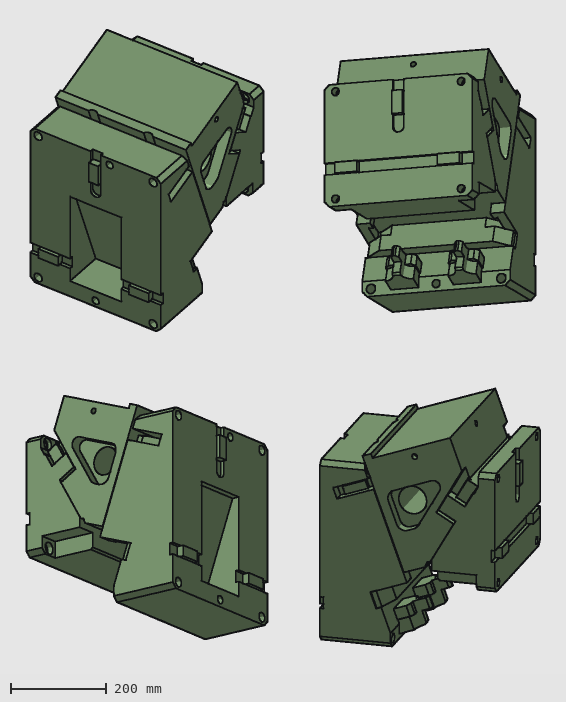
import cadquery as cq
import math

WIDTH = 330.0
HALF_WIDTH = WIDTH / 2
CORNER_CHAMFER = 11.0

HOLDER_HEIGHT = 399.5
HOLDER_FOOT_DEPTH = 154.5
GUIDE_TILT = 20.0
GUIDE_FOOT = (190.5, 148.5)
LOWER_NOTCH_LENGTH = 37.5
UPPER_NOTCH_START = 212.5
UPPER_NOTCH_END = 238.0
NOTCH_DEPTH = 85.0
UPPER_FACE_SETBACK = 4.5
CHANNEL_DEPTH = 73.0
CHANNEL_NECK_DEPTH = 19.5
CHANNEL_NECK_HALF_WIDTH = 134.0
CHANNEL_HEAD_HALF_WIDTH = 143.5
RIDGE_TOP_DEPTH = 50.0
RIDGE_FLANK_RUN = 33.5
RIDGE_ROOT_HALF_WIDTH = 139.0
LOWER_STOP_ROOT_HALF_WIDTH = 160.5

WINDOW_WIDTH = 129.0
WINDOW_BOTTOM = 40.0
WINDOW_TOP = 259.5
WINDOW_BOTTOM_DEPTH = 95.5

LUG_X = 70.0
LUG_TOP = -61.5
LUG_PLATE_BOTTOM = -86.5
LUG_BOTTOM = -117.0
LUG_BASE_HALF_WIDTH = 31.0
LUG_PLATE_HALF_WIDTH = 33.5
LUG_FILLET = 22.5
LUG_BLOCK_CHAMFER = 4.5
LUG_BLOCK_END_DEPTH = 24.0
LUG_SHOULDER_CHAMFER = 8.5
LUG_SHOULDER_DEPTH = 35.5
LUG_TIP_CHAMFER = 6.0

BASE_BACK = 383.0
BASE_FRONT = 244.0
BASE_BOTTOM = 144.0
BASE_TOP = 406.0
BASE_PLATE_THICKNESS = 37.0
BASE_EDGE_CHAMFER = 4.5
SEAT_TILT = 30.0
CLAW_FOOT = (296.0, 295.0)
SEAT_RELIEF = 2.5
SEAT_RELIEF_START = 75.0
CLAW_LENGTH = 40.0
CLAW_HEIGHT = 43.0
CLAW_LIP_HEIGHT = 27.0
CLAW_INNER_X = 148.5
CLAW_LIP_INNER_X = 138.5
BASE_HOLE_X = 140.0
BASE_HOLE_DIAMETER = 16.5
BASE_CBORE_DIAMETER = 26.0
BASE_CBORE_DEPTH = 9.5
BASE_RECESS_WIDTH = 45.5
BASE_RECESS_HEIGHT = 36.5
BASE_RECESS_DEPTH_FROM_BACK = 40.5

SLIDE_BOTTOM = 23.0
SLIDE_TOP = 278.0
SLIDE_BACK = 201.5
LIP_TOP = 288.0
LIP_THICKNESS = 21.5
TOE_BOTTOM_DEPTH = -50.2
TOE_STEP = (-58.0, 31.5)
SLIDE_HEEL = -109.5
TONGUE_TOP_ON_SEAT = 88.0
SHOULDER_BOTTOM = -7.0
SHOULDER_HEIGHT = 44.0
TONGUE_CORNER_RADIUS = 7.0
GUIDE_GAP = 1.5
TONGUE_TOP_IN_CHANNEL = 230.5
SIDE_POCKET_DEPTH = 26.0
SIDE_POCKET_RADIUS = 19.0
SIDE_POCKET_TOP_RADIUS = 15.0
SIDE_POCKET_BOTTOM = 108.5
SIDE_POCKET_TOP = 199.0
SIDE_POCKET_FRONT_WALL = 22.5
SIDE_POCKET_SEAT_WALL = 61.5
CROSS_HOLE = (-64.5, 163.0)
CROSS_HOLE_DIAMETER = 61.0
SMALL_HOLE_DIAMETER = 11.5
SMALL_HOLE_DEPTH = 19.0
DRILL_POINT_ANGLE = 118.0
SIDE_SMALL_HOLE = (-112.0, 258.5)
BACK_SMALL_HOLE_HEIGHT = 255.0
GROOVE_X = 70.0
GROOVE_RADIUS = 15.0
GROOVE_DEPTH = 5.7

KEYWAY_WIDTH = 25.5
KEY_WIDTH = 23.5
KEY_LENGTH = 50.0
KEYWAY_DEPTH = 8.0
KEY_PROTRUSION = 7.5
TOP_KEY_DROP = 25.0
TOP_KEYWAY_LENGTH = 113.5
SIDE_KEY_X = 114.5
HOLE_X = 145.5
HOLE_EDGE_DISTANCE = 16.0
MOUNT_HOLE_DIAMETER = 20.0
DOWEL_HOLE_DIAMETER = 17.0
UPPER_DOWEL_X = 35.5
HOLDER_SIDE_KEY_Z = 85.5
BASE_SIDE_KEY_Z = 225.5

GUIDE_SIN = math.sin(math.radians(GUIDE_TILT))
GUIDE_COS = math.cos(math.radians(GUIDE_TILT))
SEAT_SIN = math.sin(math.radians(SEAT_TILT))
SEAT_COS = math.cos(math.radians(SEAT_TILT))


def guide_point(depth, along):
    """(y, z) at a depth into the holder and a distance up its guide face."""
    y = GUIDE_FOOT[0] - depth * GUIDE_COS - along * GUIDE_SIN
    z = GUIDE_FOOT[1] - depth * GUIDE_SIN + along * GUIDE_COS
    return y, z


def seat_point(height, along):
    """(y, z) at a height above the base's seat and a distance up it."""
    y = CLAW_FOOT[0] - height * SEAT_COS + along * SEAT_SIN
    z = CLAW_FOOT[1] + height * SEAT_SIN + along * SEAT_COS
    return y, z


def guide_plane(along):
    """Work plane across the guide: x is X, y points out of the holder."""
    y, z = guide_point(0, along)
    return cq.Workplane(cq.Plane((0, y, z), (1, 0, 0), (0, -GUIDE_SIN, GUIDE_COS)))


def prism(points, x_min=-HALF_WIDTH, x_max=HALF_WIDTH):
    """Side outline of (y, z) points filled between two X positions."""
    return cq.Workplane("YZ", origin=(x_min, 0, 0)).polyline(points).close().extrude(x_max - x_min)


def both_sides(points, x_inner):
    """The same side outline filled from x_inner out to each side face."""
    return prism(points, x_inner, HALF_WIDTH).union(prism(points, -HALF_WIDTH, -x_inner))


def box(x_range, y_range, z_range):
    """Block between two limits along each axis."""
    corner = cq.Vector(x_range[0], y_range[0], z_range[0])
    size = [high - low for low, high in (x_range, y_range, z_range)]
    return cq.Workplane(cq.Solid.makeBox(*size, corner))


def rod(diameter, length, start, direction):
    """Round bar from a start point along a direction."""
    return cq.Workplane(cq.Solid.makeCylinder(diameter / 2, length, cq.Vector(*start), cq.Vector(*direction)))


def bore(x, z, diameter, y_start, length):
    """Round bar along +Y."""
    return rod(diameter, length, (x, y_start, z), (0, 1, 0))


def mirrored_bar(outline, x, bottom, top):
    """Bar along the guide from half an outline of (x, depth) points, mirrored about its own middle."""
    right = [(half_width, -depth) for half_width, depth in outline]
    left = [(-half_width, y) for half_width, y in reversed(right)]
    return guide_plane(bottom).center(x, 0).polyline(right + left).close().extrude(top - bottom)


def t_section(bottom, top, start_depth):
    """T-section bar along the guide, from a start depth down to the channel floor."""
    outline = [
        (CHANNEL_NECK_HALF_WIDTH, start_depth),
        (CHANNEL_NECK_HALF_WIDTH, CHANNEL_NECK_DEPTH),
        (CHANNEL_HEAD_HALF_WIDTH, CHANNEL_NECK_DEPTH),
        (CHANNEL_HEAD_HALF_WIDTH, CHANNEL_DEPTH),
    ]
    return mirrored_bar(outline, 0, bottom, top)


def guide_ridge(root_half_width, bottom, top):
    """Ridge with sloping flanks standing on the channel floor."""
    outline = [
        (root_half_width - RIDGE_FLANK_RUN, RIDGE_TOP_DEPTH),
        (root_half_width, CHANNEL_DEPTH),
        (root_half_width, NOTCH_DEPTH),
    ]
    return mirrored_bar(outline, 0, bottom, top)


def chamfer_corners(body, y_range, z_bottom, z_top):
    """Bevel the four long corner edges of a plate-shaped block."""
    length = y_range[1] - y_range[0]
    for side in (-1, 1):
        for z, inward in ((z_bottom, 1), (z_top, -1)):
            x = side * HALF_WIDTH
            corner = [(x, z), (x - side * CORNER_CHAMFER, z), (x, z + inward * CORNER_CHAMFER)]
            wedge = cq.Workplane("XZ", origin=(0, y_range[1], 0)).polyline(corner).close().extrude(length)
            body = body.cut(wedge)
    return body


def add_keys(body, face_y, outward, top_z, side_key_z):
    """Cut a keyway cross into a plate face and set its three keys; outward is the sign of Y."""
    keyway_y = sorted((face_y, face_y - outward * KEYWAY_DEPTH))
    key_y = sorted((face_y - outward * KEYWAY_DEPTH, face_y + outward * KEY_PROTRUSION))
    half = KEYWAY_WIDTH / 2
    key_half = KEY_WIDTH / 2

    round_end_z = top_z - TOP_KEYWAY_LENGTH + half
    top_keyway = box((-half, half), keyway_y, (round_end_z, top_z))
    top_keyway = top_keyway.union(bore(0, round_end_z, KEYWAY_WIDTH, keyway_y[0], KEYWAY_DEPTH))
    side_keyway = box((-HALF_WIDTH, HALF_WIDTH), keyway_y, (side_key_z - half, side_key_z + half))
    body = body.cut(top_keyway).cut(side_keyway)

    top_key_z = (top_z - TOP_KEY_DROP - KEY_LENGTH, top_z - TOP_KEY_DROP)
    body = body.union(box((-key_half, key_half), key_y, top_key_z))
    side_key_range = (side_key_z - key_half, side_key_z + key_half)
    for x in (-SIDE_KEY_X, SIDE_KEY_X):
        body = body.union(box((x - KEY_LENGTH / 2, x + KEY_LENGTH / 2), key_y, side_key_range))
    return body


def hole_heights(z_bottom, z_top):
    """Z of the lower and upper rows of plate holes."""
    return z_bottom + HOLE_EDGE_DISTANCE, z_top - HOLE_EDGE_DISTANCE


def drill_corners(body, diameter, hole_x, hole_z, y_start, length):
    """Four equal round holes along Y near the corners of a plate."""
    for x in (-hole_x, hole_x):
        for z in hole_z:
            body = body.cut(bore(x, z, diameter, y_start, length))
    return body


def drill_dowels(body, hole_z, y_start, length):
    """One dowel hole low on the middle and one high, off to the +X side."""
    for x, z in zip((0, UPPER_DOWEL_X), hole_z):
        body = body.cut(bore(x, z, DOWEL_HOLE_DIAMETER, y_start, length))
    return body


def holder_block():
    upper_run = (HOLDER_HEIGHT - guide_point(UPPER_FACE_SETBACK, 0)[1]) / GUIDE_COS
    foot_run = (HOLDER_FOOT_DEPTH - guide_point(CHANNEL_DEPTH, 0)[0]) / -GUIDE_SIN
    return prism([
        (0, 0),
        (0, HOLDER_HEIGHT),
        guide_point(UPPER_FACE_SETBACK, upper_run),
        guide_point(UPPER_FACE_SETBACK, UPPER_NOTCH_END),
        guide_point(NOTCH_DEPTH, UPPER_NOTCH_END),
        guide_point(NOTCH_DEPTH, UPPER_NOTCH_START),
        guide_point(0, UPPER_NOTCH_START),
        guide_point(0, 0),
        guide_point(NOTCH_DEPTH, 0),
        guide_point(NOTCH_DEPTH, -LOWER_NOTCH_LENGTH),
        guide_point(CHANNEL_DEPTH, -LOWER_NOTCH_LENGTH),
        guide_point(CHANNEL_DEPTH, foot_run),
        (HOLDER_FOOT_DEPTH, 0),
    ])


def window():
    """Blind rectangular pocket whose floor leans with the guide."""
    rise = WINDOW_TOP - WINDOW_BOTTOM
    top_depth = WINDOW_BOTTOM_DEPTH - rise * GUIDE_SIN / GUIDE_COS
    outline = [
        (0, WINDOW_BOTTOM),
        (WINDOW_BOTTOM_DEPTH, WINDOW_BOTTOM),
        (top_depth, WINDOW_TOP),
        (0, WINDOW_TOP),
    ]
    return prism(outline, -WINDOW_WIDTH / 2, WINDOW_WIDTH / 2)


def lug(x):
    """Lug of a deep filleted block with a plate on top: bevelled shoulders and a narrow tip."""
    tip_half_width = LUG_BASE_HALF_WIDTH - LUG_FILLET
    fillet_start = LUG_BLOCK_END_DEPTH + LUG_FILLET
    root = [(LUG_BASE_HALF_WIDTH, fillet_start), (LUG_BASE_HALF_WIDTH, NOTCH_DEPTH)]
    neck = [(LUG_BASE_HALF_WIDTH, LUG_BLOCK_END_DEPTH), (LUG_BASE_HALF_WIDTH, fillet_start)]
    shoulder = [
        (LUG_PLATE_HALF_WIDTH - LUG_SHOULDER_CHAMFER, LUG_SHOULDER_DEPTH),
        (LUG_PLATE_HALF_WIDTH, LUG_SHOULDER_DEPTH + LUG_SHOULDER_CHAMFER),
        (LUG_PLATE_HALF_WIDTH, NOTCH_DEPTH),
    ]
    tip = [
        (tip_half_width - LUG_TIP_CHAMFER, 0),
        (tip_half_width, LUG_TIP_CHAMFER),
        (tip_half_width, fillet_start),
    ]
    body = mirrored_bar(neck, x, LUG_BOTTOM, LUG_TOP).edges(">Y").chamfer(LUG_BLOCK_CHAMFER)
    for side in (-1, 1):
        corner = guide_plane(LUG_BOTTOM).center(x + side * LUG_BASE_HALF_WIDTH, -LUG_BLOCK_END_DEPTH)
        body = body.cut(corner.circle(LUG_FILLET).extrude(LUG_TOP - LUG_BOTTOM))
    body = body.union(mirrored_bar(root, x, LUG_BOTTOM, LUG_TOP))
    body = body.union(mirrored_bar(shoulder, x, LUG_PLATE_BOTTOM, LUG_TOP))
    return body.union(mirrored_bar(tip, x, LUG_PLATE_BOTTOM, LUG_TOP))


def make_holder():
    holder = holder_block()
    holder = holder.cut(t_section(0, UPPER_NOTCH_START, 0))
    holder = holder.union(guide_ridge(RIDGE_ROOT_HALF_WIDTH, 0, UPPER_NOTCH_END))
    holder = holder.union(guide_ridge(LOWER_STOP_ROOT_HALF_WIDTH, -LOWER_NOTCH_LENGTH, 0))
    holder = chamfer_corners(holder, (0, GUIDE_FOOT[0]), 0, HOLDER_HEIGHT)
    for x in (-LUG_X, LUG_X):
        holder = holder.union(lug(x))
    holder = add_keys(holder, 0, -1, HOLDER_HEIGHT, HOLDER_SIDE_KEY_Z)
    holder = holder.cut(window())
    hole_z = hole_heights(0, HOLDER_HEIGHT)
    holder = drill_corners(holder, MOUNT_HOLE_DIAMETER, HOLE_X, hole_z, 0, GUIDE_FOOT[0])
    return drill_dowels(holder, hole_z, 0, GUIDE_FOOT[0])


def claw_profile(from_height, to_height):
    """Side outline of one layer of the claws that hold the slide down."""
    return [
        seat_point(from_height, 0),
        seat_point(to_height, 0),
        seat_point(to_height, CLAW_LENGTH),
        seat_point(from_height, CLAW_LENGTH),
    ]


def base_block():
    plate_front = BASE_BACK - BASE_PLATE_THICKNESS
    relief_run = (plate_front - seat_point(-SEAT_RELIEF, 0)[0]) / SEAT_SIN
    seat_run = (BASE_FRONT - CLAW_FOOT[0]) / SEAT_SIN
    return prism([
        (BASE_BACK, BASE_BOTTOM),
        (BASE_BACK, BASE_TOP),
        (plate_front, BASE_TOP),
        seat_point(-SEAT_RELIEF, relief_run),
        seat_point(-SEAT_RELIEF, SEAT_RELIEF_START),
        seat_point(0, SEAT_RELIEF_START),
        seat_point(0, seat_run),
        (BASE_FRONT, BASE_BOTTOM + BASE_EDGE_CHAMFER),
        (BASE_FRONT + BASE_EDGE_CHAMFER, BASE_BOTTOM),
    ])


def make_base():
    base = chamfer_corners(base_block(), (BASE_FRONT, BASE_BACK), BASE_BOTTOM, BASE_TOP)

    recess_front = BASE_BACK - BASE_RECESS_DEPTH_FROM_BACK
    recess_top = BASE_BOTTOM + BASE_RECESS_HEIGHT
    recess_inner_x = HALF_WIDTH - BASE_RECESS_WIDTH
    recess = [
        (BASE_FRONT, BASE_BOTTOM),
        (recess_front, BASE_BOTTOM),
        (recess_front, recess_top),
        (BASE_FRONT, recess_top),
    ]
    base = base.cut(both_sides(recess, recess_inner_x))

    base = base.union(both_sides(claw_profile(0, CLAW_LIP_HEIGHT), CLAW_INNER_X))
    base = base.union(both_sides(claw_profile(CLAW_LIP_HEIGHT, CLAW_HEIGHT), CLAW_LIP_INNER_X))
    base = add_keys(base, BASE_BACK, 1, BASE_TOP, BASE_SIDE_KEY_Z)
    hole_z = hole_heights(BASE_BOTTOM, BASE_TOP)
    cbore_floor = BASE_BACK - BASE_PLATE_THICKNESS + BASE_CBORE_DEPTH
    base = drill_corners(base, BASE_HOLE_DIAMETER, BASE_HOLE_X, hole_z, BASE_FRONT, BASE_BACK - BASE_FRONT)
    return drill_corners(base, BASE_CBORE_DIAMETER, BASE_HOLE_X, hole_z, BASE_FRONT, cbore_floor - BASE_FRONT)


def slide_block():
    foot_offset_y = CLAW_FOOT[0] - GUIDE_FOOT[0]
    foot_offset_z = CLAW_FOOT[1] - GUIDE_FOOT[1]
    foot_distance = foot_offset_y * GUIDE_COS + foot_offset_z * GUIDE_SIN
    opening = math.radians(GUIDE_TILT + SEAT_TILT)
    rest = foot_distance + TONGUE_TOP_ON_SEAT * math.sin(opening) - SLIDE_BACK
    tongue_end_height = rest / math.cos(opening)
    return prism([
        guide_point(-SLIDE_BACK, SLIDE_TOP),
        guide_point(-LIP_THICKNESS, SLIDE_TOP),
        guide_point(-LIP_THICKNESS, LIP_TOP),
        guide_point(-GUIDE_GAP, LIP_TOP),
        guide_point(-GUIDE_GAP, SLIDE_BOTTOM),
        guide_point(TOE_BOTTOM_DEPTH, SLIDE_BOTTOM),
        guide_point(*TOE_STEP),
        seat_point(0, SLIDE_HEEL),
        seat_point(0, TONGUE_TOP_ON_SEAT),
        seat_point(tongue_end_height, TONGUE_TOP_ON_SEAT),
    ])


def shoulder_profile(from_height, to_height):
    """Side outline of one layer cut from the slide to clear the claws, open past its top end."""
    run_out = 2 * TONGUE_TOP_ON_SEAT
    return [
        seat_point(from_height, SHOULDER_BOTTOM),
        seat_point(to_height, SHOULDER_BOTTOM),
        seat_point(to_height, run_out),
        seat_point(from_height, run_out),
    ]


def tongue_corner(height, along, radius):
    """Waste left outside a round when the tongue's upper corner is rounded off across the width."""
    corner = [
        seat_point(height - radius, along - radius),
        seat_point(height, along - radius),
        seat_point(height, along),
        seat_point(height - radius, along),
    ]
    y, z = seat_point(height - radius, along - radius)
    round_bar = rod(2 * radius, WIDTH, (-HALF_WIDTH, y, z), (1, 0, 0))
    return both_sides(corner, CLAW_LIP_INNER_X).cut(round_bar)


def side_pocket():
    """Blind pocket in the -X face with walls parallel to the guide and to the seat, with round corners."""
    def on_seat_wall(along_guide):
        y, z = seat_point(SIDE_POCKET_SEAT_WALL, 0)
        along_now = (z - GUIDE_FOOT[1]) * GUIDE_COS - (y - GUIDE_FOOT[0]) * GUIDE_SIN
        step = (along_guide - along_now) / math.cos(math.radians(GUIDE_TILT + SEAT_TILT))
        return seat_point(SIDE_POCKET_SEAT_WALL, step)

    outline = [
        guide_point(-SIDE_POCKET_FRONT_WALL, SIDE_POCKET_TOP),
        guide_point(-SIDE_POCKET_FRONT_WALL, SIDE_POCKET_BOTTOM),
        on_seat_wall(SIDE_POCKET_BOTTOM),
        on_seat_wall(SIDE_POCKET_TOP),
    ]
    pocket = prism(outline, -HALF_WIDTH, -HALF_WIDTH + SIDE_POCKET_DEPTH)
    pocket = pocket.edges("|X and (not >Z)").fillet(SIDE_POCKET_RADIUS)
    return pocket.edges("|X and >Z").fillet(SIDE_POCKET_TOP_RADIUS)


def cross_hole():
    y, z = guide_point(*CROSS_HOLE)
    return rod(CROSS_HOLE_DIAMETER, WIDTH, (-HALF_WIDTH, y, z), (1, 0, 0))


def small_hole(start, direction):
    """Blind drilled hole with a conical bottom."""
    radius = SMALL_HOLE_DIAMETER / 2
    point_length = radius / math.tan(math.radians(DRILL_POINT_ANGLE / 2))
    bottom = cq.Vector(*start) + cq.Vector(*direction) * SMALL_HOLE_DEPTH
    point = cq.Solid.makeCone(radius, 0, point_length, bottom, cq.Vector(*direction))
    return rod(SMALL_HOLE_DIAMETER, SMALL_HOLE_DEPTH, start, direction).union(cq.Workplane(point))


def back_hole():
    y, z = guide_point(-SLIDE_BACK, BACK_SMALL_HOLE_HEIGHT)
    return small_hole((0, y, z), (0, -GUIDE_COS, -GUIDE_SIN))


def side_hole():
    y, z = guide_point(*SIDE_SMALL_HOLE)
    return small_hole((-HALF_WIDTH, y, z), (1, 0, 0))


def front_groove(x):
    """Shallow round groove down the slide's front face, from the lip to the tongue."""
    centre_offset = GUIDE_GAP + GROOVE_DEPTH - GROOVE_RADIUS
    profile = guide_plane(TONGUE_TOP_IN_CHANNEL).center(x, centre_offset).circle(GROOVE_RADIUS)
    return profile.extrude(LIP_TOP - TONGUE_TOP_IN_CHANNEL)


def make_slide():
    slide = slide_block()
    slide = slide.cut(both_sides(shoulder_profile(0, CLAW_LIP_HEIGHT), CLAW_INNER_X))
    slide = slide.cut(both_sides(shoulder_profile(CLAW_LIP_HEIGHT, SHOULDER_HEIGHT), CLAW_LIP_INNER_X))
    slide = slide.cut(tongue_corner(CLAW_LIP_HEIGHT, TONGUE_TOP_ON_SEAT, TONGUE_CORNER_RADIUS))

    tongue = t_section(SLIDE_BOTTOM, TONGUE_TOP_IN_CHANNEL, -GUIDE_GAP)
    slide = slide.union(tongue.cut(guide_ridge(RIDGE_ROOT_HALF_WIDTH, SLIDE_BOTTOM, TONGUE_TOP_IN_CHANNEL)))
    for x in (-GROOVE_X, GROOVE_X):
        slide = slide.cut(front_groove(x))

    slide = slide.cut(side_pocket()).cut(side_pocket().mirror("YZ"))
    slide = slide.cut(cross_hole())
    slide = slide.cut(side_hole()).cut(side_hole().mirror("YZ"))
    return slide.cut(back_hole())


holder = make_holder()
base = make_base()
slide = make_slide()

result = cq.Compound.makeCompound([holder.solids().val(), base.solids().val(), slide.solids().val()])